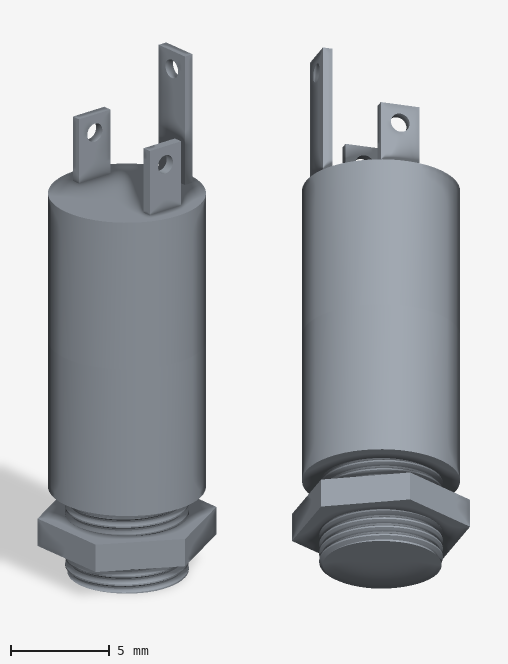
import cadquery as cq
import math

barrel_diameter = 8.0
barrel_half_height = 8.0

neck_height = 4.58
thread_major_diameter = 6.27
thread_root_diameter = 5.8
thread_pitch = 0.453
thread_crest_width = 0.08
thread_base_width = 0.4
thread_embed = 0.03
thread_crest_height = 0.05

nut_across_corners = 9.2
nut_height = 1.5
nut_bottom = 1.65
nut_bore_diameter = 6.3

terminal_width = 2.07
terminal_thickness = 0.5
long_terminal_height = 7.0
short_terminal_height = long_terminal_height / 2
long_terminal_offset = 3.2
short_terminal_offset = 2.8
terminal_hole_diameter = 1.0
terminal_hole_drop = 1.0

barrel_bottom = neck_height
barrel_middle = barrel_bottom + barrel_half_height
barrel_top = barrel_middle + barrel_half_height


def cylinder(diameter, height, bottom):
    return cq.Workplane("XY").workplane(offset=bottom).circle(diameter / 2).extrude(height)


def make_thread_ridge():
    """Right-hand helical ridge that runs past both ends of the neck."""
    start = thread_crest_height - 2 * thread_pitch
    turns = math.ceil((neck_height - start) / thread_pitch) + 1
    root_radius = thread_root_diameter / 2
    inner_radius = root_radius - thread_embed
    crest_radius = thread_major_diameter / 2
    helix = cq.Wire.makeHelix(thread_pitch, turns * thread_pitch, root_radius)
    path = cq.Workplane("XY").add(helix.translate(cq.Vector(0, 0, start)))
    profile = cq.Workplane("XZ").polyline([
        (inner_radius, start - thread_base_width / 2),
        (crest_radius, start - thread_crest_width / 2),
        (crest_radius, start + thread_crest_width / 2),
        (inner_radius, start + thread_base_width / 2),
    ]).close()
    return profile.sweep(path, isFrenet=True)


def make_lower_barrel():
    """Lower half of the barrel with its threaded neck."""
    neck_envelope = cylinder(barrel_diameter, neck_height, 0)
    ridge = make_thread_ridge().intersect(neck_envelope)
    neck = cylinder(thread_root_diameter, neck_height, 0).union(ridge)
    return neck.union(cylinder(barrel_diameter, barrel_half_height, barrel_bottom))


def make_upper_barrel():
    return cylinder(barrel_diameter, barrel_half_height, barrel_middle)


def make_nut():
    """Hexagonal nut with a plain bore around the thread."""
    blank = cq.Workplane("XY").workplane(offset=nut_bottom).polygon(6, nut_across_corners).extrude(nut_height)
    return blank.cut(cylinder(nut_bore_diameter, nut_height, nut_bottom))


def make_terminal(height, offset, angle):
    """Pierced flat terminal, facing outward at an angle about Z measured from +Y."""
    blade = cq.Workplane("XY").box(terminal_width, terminal_thickness, height, centered=(True, True, False))
    hole = (
        cq.Workplane("XZ")
        .center(0, height - terminal_hole_drop)
        .circle(terminal_hole_diameter / 2)
        .extrude(terminal_thickness, both=True)
    )
    terminal = blade.cut(hole).translate((0, offset, barrel_top))
    return terminal.rotate((0, 0, 0), (0, 0, 1), angle)


lower_barrel = make_lower_barrel()
upper_barrel = make_upper_barrel()
nut = make_nut()
long_terminal = make_terminal(long_terminal_height, long_terminal_offset, 0)
short_terminals = [
    make_terminal(short_terminal_height, short_terminal_offset, angle) for angle in (90, -90)
]

result = cq.Compound.makeCompound([
    lower_barrel.solids().val(),
    upper_barrel.solids().val(),
    nut.solids().val(),
    long_terminal.solids().val(),
    *[terminal.solids().val() for terminal in short_terminals],
])